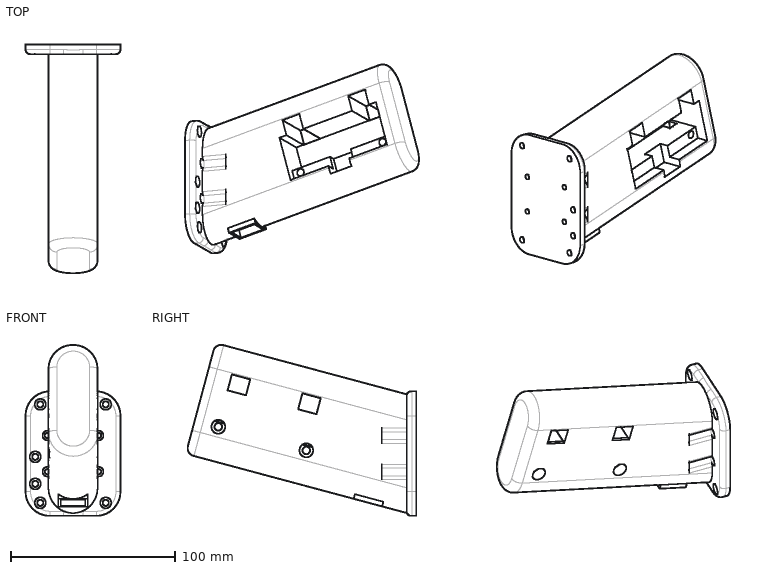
import cadquery as cq
import math

PLATE_WIDTH = 58.0
PLATE_HEIGHT = 76.0
PLATE_THICKNESS = 6.0
PLATE_CORNER_RADIUS = 14.9
PLATE_EDGE_RADIUS = PLATE_THICKNESS / 2
PLATE_MID_Z = PLATE_HEIGHT / 2

ARM_TILT = 15
ARM_WIDTH = 30.0
ARM_HEIGHT = 70.0
ARM_LENGTH = 130.0
ARM_ROOT_LENGTH = 20.9
ARM_END_RADIUS = 5.0
ARM_SIDE = ARM_WIDTH / 2

CORNER_HOLE_X = 20.0
CORNER_HOLE_Z = 30.0
EXTRA_HOLE_X = -23.0
EXTRA_HOLES_Z = (-2.0, -18.4)
SCREW_RADIUS = 1.8
SCREW_HEAD_RADIUS = 3.3
INNER_HOLE_X = 15.6
INNER_HOLE_Z = 11.0
INNER_SCREW_RADIUS = 1.5
INNER_HEAD_RADIUS = 2.9
HEAD_FLOOR = PLATE_THICKNESS / 2

CHANNEL_LENGTH = 15.2
CHANNEL_LIP_RADIUS = INNER_HEAD_RADIUS

POCKET_MID_U = 87.3
POCKET_LENGTH = 65.4
POCKET_TOP_V = 9.0
STEP_V = -11.0
POCKET_BOTTOM_V = -19.0
POCKET_DEPTH = 28.0
LEDGE_DEPTH = 8.0
NOTCH_LENGTH = 14.1
NOTCH_BOTTOM_V = -24.0
NOTCH_DEPTH = 14
WINDOW_LENGTH = 11.5
WINDOW_TOP_V = 19.0
WINDOW_SPACING = 44.5
LEDGE_HOLE_SPACING = 55.5
LEDGE_HOLE_V = -14
LEDGE_HOLE_RADIUS = 2.2
LEDGE_HEAD_RADIUS = 4.2
LEDGE_HEAD_DEPTH = 8.0

PAD_MID_U = 15.0
PAD_SIZE = 18.0
PAD_HEIGHT = 7
SOCKET_SIZE = 15.0
SOCKET_DEPTH = 5.0

SLACK = 0.1

tilt = math.radians(ARM_TILT)
arm_plane = cq.Plane(
    origin=(0, -PLATE_THICKNESS, PLATE_MID_Z),
    xDir=(1, 0, 0),
    normal=(0, -math.cos(tilt), math.sin(tilt)),
)


def arm_box(x_min, x_max, u_min, u_max, v_min, v_max):
    """Box aligned with the arm: X across, u along the arm, v up across it."""
    return (
        cq.Workplane(arm_plane)
        .workplane(offset=u_min)
        .center((x_min + x_max) / 2, (v_min + v_max) / 2)
        .rect(x_max - x_min, v_max - v_min)
        .extrude(u_max - u_min)
    )


def side_cut(mid_u, length, v_min, v_max, depth):
    """Box sunk from the -X side of the arm to the given depth."""
    half = length / 2
    return arm_box(-ARM_SIDE, depth - ARM_SIDE, mid_u - half, mid_u + half, v_min, v_max)


def make_plate():
    return (
        cq.Workplane("XZ")
        .center(0, PLATE_MID_Z)
        .rect(PLATE_WIDTH, PLATE_HEIGHT)
        .extrude(PLATE_THICKNESS)
        .edges("|Y")
        .fillet(PLATE_CORNER_RADIUS)
    )


def make_arm():
    arm = (
        cq.Workplane(arm_plane)
        .workplane(offset=-ARM_ROOT_LENGTH)
        .slot2D(ARM_HEIGHT, ARM_WIDTH, 90)
        .extrude(ARM_ROOT_LENGTH + ARM_LENGTH)
    )
    end_face = cq.selectors.DirectionMinMaxSelector(arm_plane.zDir, True)
    arm = arm.faces(end_face).edges().fillet(ARM_END_RADIUS)
    behind_plate = (
        cq.Workplane("XZ")
        .center(0, PLATE_MID_Z)
        .rect(PLATE_WIDTH, 2 * PLATE_HEIGHT)
        .extrude(-ARM_HEIGHT)
    )
    return arm.cut(behind_plate)


def square_under_arm(size, height):
    """Square block centred on the pad, rising from the lowest line of the arm."""
    half = size / 2
    bottom = -ARM_HEIGHT / 2
    return arm_box(-half, half, PAD_MID_U - half, PAD_MID_U + half, bottom, bottom + height)


def is_plate_rim(edge):
    """True for the outer edges of a plate face, false for the outline of the arm."""
    center = edge.Center()
    beside_arm = abs(center.x) > ARM_SIDE + SLACK
    above_or_below_arm = abs(center.z - PLATE_MID_Z) > PLATE_HEIGHT / 2 - SLACK
    return beside_arm or above_or_below_arm


def make_body():
    """Plate, arm and pad in one, with the front rim of the plate rounded up to the arm."""
    joined = make_plate().union(make_arm()).union(square_under_arm(PAD_SIZE, PAD_HEIGHT))
    front_edges = cq.selectors.BoxSelector(
        (-PLATE_WIDTH, -PLATE_THICKNESS - SLACK, -SLACK),
        (PLATE_WIDTH, -PLATE_THICKNESS + SLACK, PLATE_HEIGHT + SLACK),
    )
    return joined.edges(front_edges).filter(is_plate_rim).fillet(PLATE_EDGE_RADIUS)


def plate_holes(places, radius, head_radius):
    """Through holes with heads sunk from the plate front; places are from the plate middle."""
    plane = cq.Workplane("XZ", origin=(0, 0, PLATE_MID_Z))
    shafts = plane.pushPoints(places).circle(radius).extrude(PLATE_THICKNESS)
    heads = (
        plane.workplane(offset=HEAD_FLOOR)
        .pushPoints(places)
        .circle(head_radius)
        .extrude(PLATE_THICKNESS - HEAD_FLOOR)
    )
    return shafts.union(heads)


def make_channel(z):
    """Round channel on the -X side at height z from the plate middle, with rounded lips."""
    groove = INNER_HEAD_RADIUS
    lip = CHANNEL_LIP_RADIUS
    lip_in = INNER_HOLE_X - ARM_SIDE + lip
    lip_z = math.sqrt((groove + lip) ** 2 - lip_in**2)
    lip_angle = math.atan2(lip_z, lip_in)
    meet_x = -INNER_HOLE_X + groove * math.cos(lip_angle)
    meet_z = groove * math.sin(lip_angle)
    lip_mid_angle = math.pi + lip_angle / 2
    lip_mid_x = -INNER_HOLE_X + lip_in + lip * math.cos(lip_mid_angle)
    lip_mid_z = lip_z + lip * math.sin(lip_mid_angle)
    return (
        cq.Workplane("XZ", origin=(0, -PLATE_THICKNESS, PLATE_MID_Z + z))
        .moveTo(-ARM_SIDE, lip_z)
        .threePointArc((lip_mid_x, lip_mid_z), (meet_x, meet_z))
        .threePointArc((groove - INNER_HOLE_X, 0), (meet_x, -meet_z))
        .threePointArc((lip_mid_x, -lip_mid_z), (-ARM_SIDE, -lip_z))
        .close()
        .extrude(CHANNEL_LENGTH)
    )


def make_ledge_hole(u):
    """Cross hole through the ledge, with its head sunk from the +X side."""
    start = arm_plane.toWorldCoords((-ARM_SIDE, LEDGE_HOLE_V, u))
    across = cq.Workplane(cq.Plane(origin=start, normal=(1, 0, 0)))
    shaft = across.circle(LEDGE_HOLE_RADIUS).extrude(ARM_WIDTH)
    head = (
        across.workplane(offset=ARM_WIDTH - LEDGE_HEAD_DEPTH)
        .circle(LEDGE_HEAD_RADIUS)
        .extrude(LEDGE_HEAD_DEPTH)
    )
    return shaft.union(head)


def make_side_pocket():
    pocket = side_cut(POCKET_MID_U, POCKET_LENGTH, STEP_V, POCKET_TOP_V, POCKET_DEPTH)
    ledge = side_cut(POCKET_MID_U, POCKET_LENGTH, POCKET_BOTTOM_V, STEP_V, LEDGE_DEPTH)
    notch = side_cut(POCKET_MID_U, NOTCH_LENGTH, NOTCH_BOTTOM_V, STEP_V, NOTCH_DEPTH)
    cuts = pocket.union(ledge).union(notch)
    for side in (-1, 1):
        window_u = POCKET_MID_U + side * WINDOW_SPACING / 2
        cuts = cuts.union(side_cut(window_u, WINDOW_LENGTH, POCKET_TOP_V, WINDOW_TOP_V, ARM_WIDTH))
        hole_u = POCKET_MID_U + side * LEDGE_HOLE_SPACING / 2
        cuts = cuts.union(make_ledge_hole(hole_u))
    return cuts


def corner_places(x, z):
    """The four corners of a rectangle around the plate middle."""
    return [(side_x * x, side_z * z) for side_x in (-1, 1) for side_z in (-1, 1)]


outer_places = corner_places(CORNER_HOLE_X, CORNER_HOLE_Z) + [(EXTRA_HOLE_X, z) for z in EXTRA_HOLES_Z]
inner_places = corner_places(INNER_HOLE_X, INNER_HOLE_Z)

result = make_body()
result = result.cut(square_under_arm(SOCKET_SIZE, SOCKET_DEPTH))
result = result.cut(make_side_pocket())
result = result.cut(plate_holes(outer_places, SCREW_RADIUS, SCREW_HEAD_RADIUS))
result = result.cut(plate_holes(inner_places, INNER_SCREW_RADIUS, INNER_HEAD_RADIUS))
for channel_z in (-INNER_HOLE_Z, INNER_HOLE_Z):
    channel = make_channel(channel_z)
    result = result.cut(channel).cut(channel.mirror("YZ"))